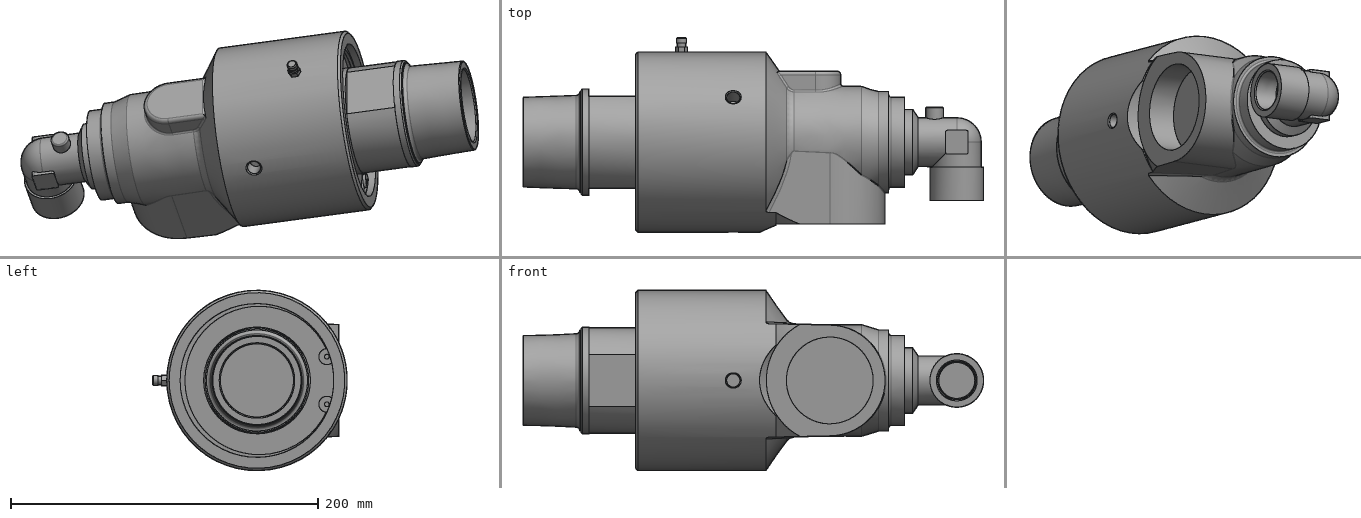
import cadquery as cq
import math


nose_tip_radius = 29.3
nose_base_radius = 30.5
nose_length = 34.7
nose_tip_chamfer = 0.6
nose_bore_diameter = 47.6
nose_bore_depth = 60.0
nose_bore_chamfer = 0.8
collar_start = 37.8
collar_end = 43.0
collar_diameter = 69.5
collar_chamfer = 1.0
shaft_relief = 0.25
shaft_flat_offset = 30.0
shaft_flat_end = 75.0
undercut_radius = 2.4

body_diameter = 117.5
body_start = 73.3
body_end = 158.2
body_chamfer = 1.6
recess_diameter = 100.08
recess_depth = 9.0

ring_inner_radius = 48.3
ring_inner_offset = 1.4
ring_thickness = 2.0
ring_setback = 4.6
ring_ear_radius = 5.2
ring_ear_y = -45.5
ring_ear_z = 15.5
ring_ear_hole_diameter = 3.12

vent_x = 137.0
vent_diameter = 8.6
vent_mouth_diameter = 10.4
vent_depth = 13.0
vent_count = 3

shoulder_end = 173.5
neck_front_radius = 37.0
neck_rear_radius = 36.4
neck_end = 220.5
shoulder_fillet = 6.0
rim_start = 231.6
rim_end = 238.2
rim_radius = 33.0
nut_root_fillet = 1.5
nut_end = 248.6
nut_radius = 29.4
cap_taper_start = 253.8
cap_end = 257.4
cap_radius = 21.4

port_x = 199.8
port_face_y = -53.3
port_radius = 36.0
port_bore_diameter = 56.5
port_bore_depth = 19.0
port_root_fillet = 3.0
port_barrel_fillet = 0.6
port_block_overrun = 5.0
port_root_inset = 0.1
port_block_front_half_height = 36.9
port_spot_radius = 41.3
port_spot_outer_radius = 45.7
port_bevel_radial = 13.3
port_bevel_depth = 10.4
body_tail_end = 164.7

pad_x = 190.6
pad_radius = 16.4
pad_front_x = 165.0
pad_face_y = 46.3
pad_edge_fillet = 2.5
pad_root_fillet = 1.5

pipe_radius = 32 / 2
elbow_x = 282.5
elbow_socket_diameter = 35.0
elbow_socket_start_y = -16.3
elbow_end_y = -38.1
elbow_bore_diameter = 25.0
elbow_bore_floor_diameter = 23.4
elbow_bore_chamfer = 0.8
elbow_bore_depth = 16.0
elbow_pad_length = 14.8
elbow_pad_width = 15.6
elbow_pad_corner = 1.5
plug_x = 268.0
plug_diameter = 11.7
plug_end_y = 22.8
plug_fillet = 1.0

nipple_x = 103.3
nipple_tip_y = 68.16
nipple_hex_across_flats = 7.0
nipple_hex_end_y = 62.0
nipple_neck_end_y = 64.5
nipple_neck_diameter = 5.6
nipple_head_diameter = 6.6
nipple_tip_diameter = 5.0

body_radius = body_diameter / 2
collar_radius = collar_diameter / 2
relief_radius = collar_radius - shaft_relief
recess_radius = recess_diameter / 2
recess_floor_x = body_start + recess_depth
shoulder_slope = (body_radius - neck_front_radius) / (shoulder_end - body_end)


def x_cylinder(radius, start, end):
    return cq.Workplane("YZ", origin=(start, 0, 0)).circle(radius).extrude(end - start)


def y_cylinder(radius, x, start, end):
    return cq.Workplane("XZ", origin=(x, start, 0)).circle(radius).extrude(start - end)


def y_cone(x, start, start_radius, end, end_radius):
    profile = [(x, start), (x + start_radius, start), (x + end_radius, end), (x, end)]
    return cq.Workplane("XY").polyline(profile).close().revolve(360, (x, 0, 0), (x, 1, 0))


def make_turned_body():
    undercut_end_radius = nose_base_radius + undercut_radius
    undercut_mid = undercut_radius * math.sqrt(0.5)
    nut_root_mid = nut_root_fillet * (1 - math.sqrt(0.5))
    outline = (
        cq.Workplane("XY")
        .moveTo(0, 0)
        .lineTo(0, nose_tip_radius - nose_tip_chamfer)
        .lineTo(nose_tip_chamfer, nose_tip_radius)
        .lineTo(nose_length, nose_base_radius)
        .threePointArc(
            (nose_length + undercut_mid, undercut_end_radius - undercut_mid),
            (nose_length + undercut_radius, undercut_end_radius),
        )
        .lineTo(collar_start, undercut_end_radius)
        .lineTo(collar_start, collar_radius - collar_chamfer)
        .lineTo(collar_start + collar_chamfer, collar_radius)
        .lineTo(collar_end, collar_radius)
        .lineTo(collar_end, relief_radius)
        .lineTo(shaft_flat_end, relief_radius)
        .lineTo(shaft_flat_end, collar_radius)
        .lineTo(recess_floor_x, collar_radius)
        .lineTo(recess_floor_x, recess_radius)
        .lineTo(body_start, recess_radius)
        .lineTo(body_start, body_radius - body_chamfer)
        .lineTo(body_start + body_chamfer, body_radius)
        .lineTo(body_end, body_radius)
        .lineTo(shoulder_end, neck_front_radius)
        .lineTo(neck_end, neck_rear_radius)
        .lineTo(rim_start, rim_radius)
        .lineTo(rim_end, rim_radius)
        .lineTo(rim_end, nut_radius + nut_root_fillet)
        .threePointArc(
            (rim_end + nut_root_mid, nut_radius + nut_root_mid),
            (rim_end + nut_root_fillet, nut_radius),
        )
        .lineTo(nut_end, nut_radius)
        .lineTo(nut_end, cap_radius)
        .lineTo(cap_taper_start, cap_radius)
        .lineTo(cap_end, pipe_radius)
        .lineTo(cap_end, 0)
        .close()
    )
    body = outline.revolve(360, (0, 0, 0), (1, 0, 0))
    shoulder_edge = cq.selectors.BoxSelector(
        (shoulder_end - 1, -body_radius, -body_radius),
        (shoulder_end + 1, body_radius, body_radius),
        boundingbox=False,
    )
    return body.edges(shoulder_edge).fillet(shoulder_fillet)


def make_nose_bore():
    bore = x_cylinder(nose_bore_diameter / 2, 0, nose_bore_depth)
    mouth = (
        cq.Workplane("YZ")
        .circle(nose_bore_diameter / 2 + nose_bore_chamfer)
        .workplane(offset=nose_bore_chamfer)
        .circle(nose_bore_diameter / 2)
        .loft()
    )
    return bore.union(mouth)


def make_shaft_flats():
    length = shaft_flat_end - collar_end
    depth = collar_radius - shaft_flat_offset
    return (
        cq.Workplane("XY")
        .pushPoints([(0, side * (shaft_flat_offset + depth / 2)) for side in (-1, 1)])
        .box(length, depth, collar_diameter)
        .translate((collar_end + length / 2, 0, 0))
    )


def make_retaining_ring():
    start = body_start + ring_setback
    end = start + ring_thickness
    opening = x_cylinder(ring_inner_radius, start, end).translate((0, -ring_inner_offset, 0))
    ring = x_cylinder(recess_radius, start, end).cut(opening)
    gap = cq.Workplane("XY").box(ring_thickness, recess_radius, 2 * ring_ear_z)
    ring = ring.cut(gap.translate((start + ring_thickness / 2, -recess_radius, 0)))
    ear_centres = [(ring_ear_y, ring_ear_z), (ring_ear_y, -ring_ear_z)]
    plane = cq.Workplane("YZ", origin=(start, 0, 0)).pushPoints(ear_centres)
    ears = plane.circle(ring_ear_radius).extrude(ring_thickness)
    holes = plane.circle(ring_ear_hole_diameter / 2).extrude(ring_thickness)
    ears = ears.intersect(x_cylinder(recess_radius, start, end))
    return ring.union(ears).cut(holes)


def make_vent_hole():
    chamfer = (vent_mouth_diameter - vent_diameter) / 2
    bore = y_cylinder(vent_diameter / 2, vent_x, -body_radius + vent_depth, -body_radius)
    mouth = y_cone(
        vent_x, -body_radius, vent_mouth_diameter / 2, -body_radius + chamfer, vent_diameter / 2
    )
    return bore.union(mouth)


def make_port_root():
    start_x = body_end - port_block_overrun
    taper = (port_block_front_half_height - port_radius) / (port_x - body_end)
    start_half_height = port_block_front_half_height + taper * port_block_overrun
    cone_radius = body_radius - port_root_inset + shoulder_slope * port_block_overrun
    cone_tip_x = start_x + cone_radius / shoulder_slope
    slab = (
        cq.Workplane("XZ")
        .polyline([
            (start_x, -start_half_height),
            (port_x, -port_radius),
            (port_x, port_radius),
            (start_x, start_half_height),
        ])
        .close()
        .extrude(cone_radius + port_block_overrun)
    )
    cone = (
        cq.Workplane("XY")
        .polyline([(start_x, 0), (start_x, cone_radius), (cone_tip_x, 0)])
        .close()
        .revolve(360, (0, 0, 0), (1, 0, 0))
    )
    return slab.union(cone).edges("%HYPERBOLA").fillet(port_root_fillet)


def make_port_block():
    root = make_port_root()
    bevel_reach = -port_face_y / port_bevel_depth * port_bevel_radial
    bevel = y_cone(port_x, port_face_y, port_spot_radius, 0, port_spot_radius + bevel_reach)
    block = root.intersect(bevel).intersect(x_cylinder(body_diameter, body_end, port_x))
    tail = root.intersect(x_cylinder(body_radius, body_end, body_tail_end))
    barrel = y_cylinder(port_radius, port_x, 0, port_face_y)
    return block.union(tail).union(barrel)


def make_port_cuts():
    spot_face = y_cone(port_x, port_face_y, port_spot_radius, -body_radius, port_spot_outer_radius)
    bore = y_cylinder(port_bore_diameter / 2, port_x, port_face_y + port_bore_depth, port_face_y)
    return spot_face.union(bore)


def make_rear_pad():
    length = pad_x - pad_front_x
    pad = y_cylinder(pad_radius, pad_x, pad_face_y, 0)
    bar = cq.Workplane("XY").box(length, pad_face_y, 2 * pad_radius)
    pad = pad.union(bar.translate((pad_front_x + length / 2, pad_face_y / 2, 0)))
    return pad.faces(">Y").edges().fillet(pad_edge_fillet)


def make_elbow():
    inlet = x_cylinder(pipe_radius, cap_end, elbow_x)
    outlet = y_cylinder(pipe_radius, elbow_x, 0, elbow_socket_start_y)
    bend = cq.Workplane("XY").sphere(pipe_radius).translate((elbow_x, 0, 0))
    socket = y_cylinder(elbow_socket_diameter / 2, elbow_x, elbow_socket_start_y, elbow_end_y)
    wrench_pad = (
        cq.Workplane("XY")
        .box(elbow_pad_length, elbow_pad_width, 2 * pipe_radius)
        .edges("|Z")
        .fillet(elbow_pad_corner)
        .translate((elbow_x, 0, 0))
    )
    plug = y_cylinder(plug_diameter / 2, plug_x, plug_end_y, 0).faces(">Y").edges().fillet(plug_fillet)
    bore_radius = elbow_bore_diameter / 2
    floor_y = elbow_end_y + elbow_bore_depth
    bore = y_cone(elbow_x, elbow_end_y, bore_radius, floor_y, elbow_bore_floor_diameter / 2)
    chamfer_y = elbow_end_y + elbow_bore_chamfer
    bore = bore.union(y_cone(elbow_x, elbow_end_y, bore_radius + elbow_bore_chamfer, chamfer_y, bore_radius))
    return inlet.union(outlet).union(bend).union(socket).union(wrench_pad).union(plug).cut(bore)


def make_grease_nipple():
    root_y = body_radius - 1
    hex_diameter = nipple_hex_across_flats / math.cos(math.pi / 6)
    hexagon = (
        cq.Workplane("XZ", origin=(nipple_x, nipple_hex_end_y, 0))
        .polygon(6, hex_diameter)
        .extrude(nipple_hex_end_y - root_y)
    )
    neck = y_cylinder(nipple_neck_diameter / 2, nipple_x, nipple_neck_end_y, nipple_hex_end_y)
    head_y = nipple_tip_y - (nipple_head_diameter - nipple_tip_diameter) / 2
    head = y_cylinder(nipple_head_diameter / 2, nipple_x, head_y, nipple_neck_end_y)
    tip = y_cone(nipple_x, head_y, nipple_head_diameter / 2, nipple_tip_y, nipple_tip_diameter / 2)
    return hexagon.union(neck).union(head).union(tip)


def fillet_pad_root(body):
    margin = 0.5
    side_top = pad_face_y - pad_edge_fillet + margin / 10
    edges = []
    for side in (-1, 1):
        edge_z = side * pad_radius
        side_box = cq.selectors.BoxSelector(
            (pad_front_x, 0, edge_z - margin),
            (shoulder_end, side_top, edge_z + margin),
            boundingbox=True,
        )
        edges += body.edges(side_box).vals()
    low_box = cq.selectors.BoxSelector(
        (pad_front_x, 0, -pad_radius - margin),
        (pad_x + pad_radius + margin, neck_front_radius + margin, pad_radius + margin),
        boundingbox=True,
    )
    edges += body.edges(low_box).vals()
    return body.newObject(edges).fillet(pad_root_fillet)


def fillet_port_barrel(body):
    margin = 0.5
    seam_box = cq.selectors.BoxSelector(
        (port_x - margin, port_face_y + margin, -port_radius - margin),
        (port_x + port_radius + margin, 0, port_radius + margin),
        boundingbox=True,
    )
    return body.edges("%BSPLINE").edges(seam_box).fillet(port_barrel_fillet)


result = fillet_pad_root(make_turned_body().union(make_rear_pad()))
result = fillet_port_barrel(result.union(make_port_block()))
result = result.cut(make_shaft_flats()).union(make_elbow())
result = result.cut(make_port_cuts())
result = result.cut(make_nose_bore())
result = result.union(make_retaining_ring()).union(make_grease_nipple())
for index in range(vent_count):
    turn = index * 360 / vent_count
    result = result.cut(make_vent_hole().rotate((0, 0, 0), (1, 0, 0), turn))